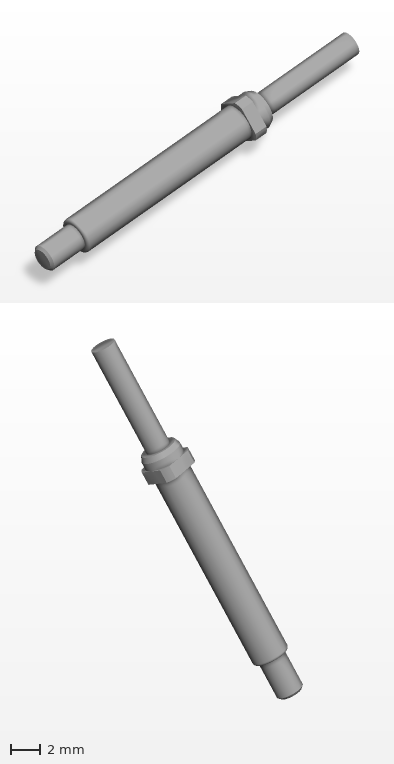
import cadquery as cq


flange_across_flats = 3.0
flange_corner_diameter = 3.6
flange_length = 1.0

collar_diameter = 2.97
collar_length = 1.0
collar_taper_length = 0.4
collar_taper_depth = 0.18

tail_diameter = 1.8
tail_length = 8.3

barrel_diameter = 2.7
barrel_length = 15.0
barrel_fillet = 0.2

plunger_diameter = 2.0
plunger_length = 3.0
plunger_chamfer = 0.2

collar_start = flange_length
tail_start = collar_start + collar_length
barrel_tip = -barrel_length
plunger_tip = barrel_tip - plunger_length


def cylinder(diameter, start, length):
    """Cylinder on the Y axis from Y = start toward +Y."""
    base = cq.Workplane("XZ", origin=(0, start, 0))
    return base.circle(diameter / 2).extrude(-length)


def make_flange():
    square = (
        cq.Workplane("XZ")
        .transformed(rotate=(0, 0, 45))
        .rect(flange_across_flats, flange_across_flats)
        .extrude(-flange_length)
    )
    return square.intersect(cylinder(flange_corner_diameter, 0, flange_length))


def make_collar():
    collar = cylinder(collar_diameter, collar_start, collar_length)
    return collar.faces(">Y").chamfer(collar_taper_length, collar_taper_depth)


def make_barrel():
    barrel = cylinder(barrel_diameter, barrel_tip, barrel_length)
    return barrel.faces("<Y").edges().fillet(barrel_fillet)


def make_plunger():
    plunger = cylinder(plunger_diameter, plunger_tip, plunger_length)
    return plunger.faces("<Y").chamfer(plunger_chamfer)


tail = cylinder(tail_diameter, tail_start, tail_length)

result = (
    make_flange()
    .union(make_collar())
    .union(make_barrel())
    .union(make_plunger())
    .union(tail)
)